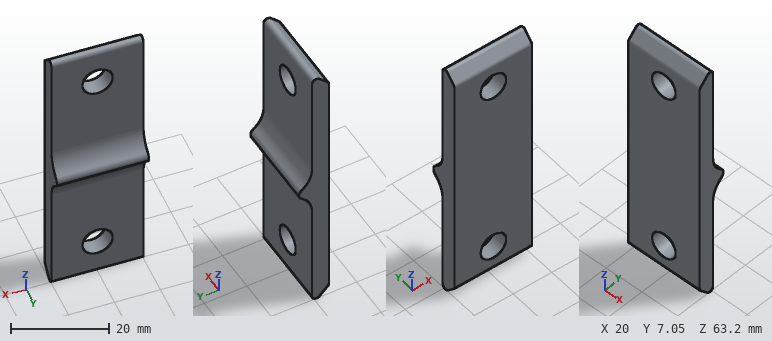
import cadquery as cq
import math

length = 63.2
width = 20.0
thickness = 4.0
hole_diameter = 6.6
hole_spacing = 46.0

end_radius = 1.0
bevel_radius = 1.0
bevel_angle = math.radians(45)

ridge_height = 3.05
ridge_tip_radius = 1.5
ridge_root_radius = 6.0

half_length = length / 2


def arc_point(center, radius, angle):
    """Point on a circle in the YZ plane, with the angle measured from +Y toward +Z."""
    return (center[0] + radius * math.cos(angle), center[1] + radius * math.sin(angle))


def mirrored(point):
    """The same point at the opposite end of the plate."""
    return (point[0], -point[1])


def profile():
    """Side outline of the plate with its front face at Y = 0 and the ridge toward +Y."""
    tip_center = (thickness - end_radius, half_length - end_radius)
    bevel_normal = math.pi - bevel_angle
    tip_start = arc_point(tip_center, end_radius, 0)
    tip_middle = arc_point(tip_center, end_radius, bevel_normal / 2)
    bevel_top = arc_point(tip_center, end_radius, bevel_normal)

    sharp_corner_z = bevel_top[1] - bevel_top[0] * math.tan(bevel_angle)
    tangent_length = bevel_radius * math.tan(math.pi / 4 - bevel_angle / 2)
    front_center = (bevel_radius, sharp_corner_z - tangent_length)
    bevel_bottom = arc_point(front_center, bevel_radius, bevel_normal)
    front_middle = arc_point(front_center, bevel_radius, (math.pi + bevel_normal) / 2)
    front_end = arc_point(front_center, bevel_radius, math.pi)

    peak = (thickness + ridge_height, 0)
    crest_y = peak[0] - ridge_tip_radius
    root_y = thickness + ridge_root_radius
    center_distance = ridge_tip_radius + ridge_root_radius
    slope = math.acos((root_y - crest_y) / center_distance)
    root_center = (root_y, center_distance * math.sin(slope))
    crest_end = arc_point((crest_y, 0), ridge_tip_radius, slope)
    root_middle = arc_point(root_center, ridge_root_radius, math.pi + slope / 2)
    root_end = arc_point(root_center, ridge_root_radius, math.pi)

    return (
        cq.Workplane("YZ")
        .moveTo(*mirrored(root_end))
        .threePointArc(mirrored(root_middle), mirrored(crest_end))
        .threePointArc(peak, crest_end)
        .threePointArc(root_middle, root_end)
        .lineTo(*tip_start)
        .threePointArc(tip_middle, bevel_top)
        .lineTo(*bevel_bottom)
        .threePointArc(front_middle, front_end)
        .lineTo(*mirrored(front_end))
        .threePointArc(mirrored(front_middle), mirrored(bevel_bottom))
        .lineTo(*mirrored(bevel_top))
        .threePointArc(mirrored(tip_middle), mirrored(tip_start))
        .close()
    )


def mounting_holes():
    """Two through holes on the centerline of the plate."""
    return (
        cq.Workplane("XZ")
        .pushPoints([(0, -hole_spacing / 2), (0, hole_spacing / 2)])
        .circle(hole_diameter / 2)
        .extrude(-thickness)
    )


body = profile().extrude(width / 2, both=True)
result = body.cut(mounting_holes())